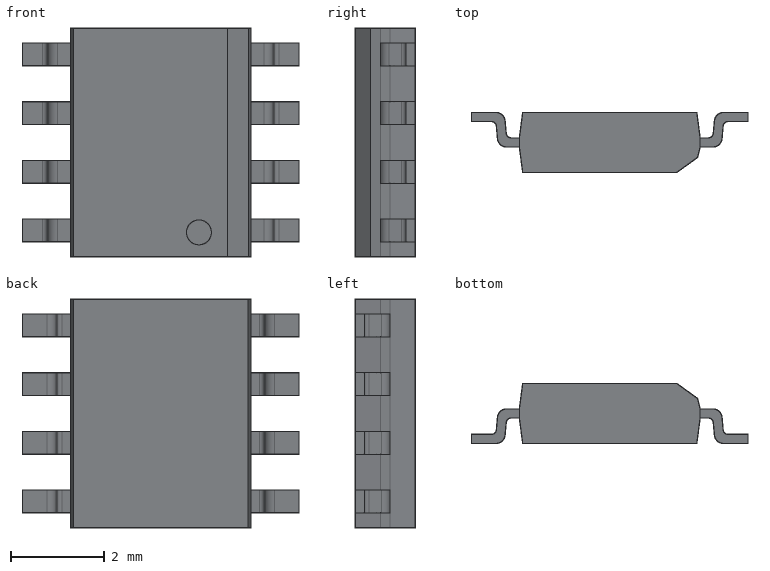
import cadquery as cq
import math


overall_width = 5.95
body_depth = 1.3
body_length = 4.92

waist_half_width = 1.945
face_half_width = 1.875
bevel_face_x = 1.44
bevel_side_x = 1.89
bevel_side_depth = 0.97

leads_per_side = 4
lead_pitch = 1.26
lead_width = 0.495
lead_thickness = 0.2
lead_exit_depth = 0.55
lead_shank_x = 2.33
shank_lean = 5.0
outer_bend_radius = 0.2
inner_bend_radius = 0.1
lead_embed = 0.12

mark_diameter = 0.535
mark_depth = 0.1
mark_x = 0.82
mark_z = -1.935

lead_far_depth = lead_exit_depth + lead_thickness


def extrude_along_z(outline, length):
    """Extrude a closed XY outline symmetrically about Z = 0."""
    return outline.extrude(length / 2, both=True)


def make_body():
    outline = cq.Workplane("XY").polyline([
        (-face_half_width, 0),
        (-waist_half_width, -lead_exit_depth),
        (-waist_half_width, -lead_far_depth),
        (-face_half_width, -body_depth),
        (bevel_face_x, -body_depth),
        (bevel_side_x, -bevel_side_depth),
        (waist_half_width, -lead_far_depth),
        (waist_half_width, -lead_exit_depth),
        (face_half_width, 0),
    ]).close()
    return extrude_along_z(outline, body_length)


def make_lead():
    """Gull-wing lead on the +X side, centred on Z = 0."""
    lean = math.radians(shank_lean)
    half_shank = lead_thickness / 2 / math.cos(lean)
    mid_depth = lead_far_depth / 2

    def shank_point(side, depth):
        """Point on the inboard (-1) or outboard (+1) shank face."""
        x = lead_shank_x + side * half_shank + (mid_depth - depth) * math.tan(lean)
        return x, -depth

    tip_x = overall_width / 2
    root_x = waist_half_width - lead_embed
    foot_outer = shank_point(-1, 0)
    foot_inner = shank_point(1, lead_thickness)
    exit_outer = shank_point(1, lead_far_depth)
    exit_inner = shank_point(-1, lead_exit_depth)

    outline = cq.Workplane("XY").polyline([
        (tip_x, 0),
        foot_outer,
        exit_inner,
        (root_x, -lead_exit_depth),
        (root_x, -lead_far_depth),
        exit_outer,
        foot_inner,
        (tip_x, -lead_thickness),
    ]).close()
    lead = extrude_along_z(outline, lead_width)

    bends = [
        (outer_bend_radius, foot_outer, exit_outer),
        (inner_bend_radius, foot_inner, exit_inner),
    ]
    for radius, *corners in bends:
        for x, y in corners:
            lead = lead.edges(cq.NearestToPointSelector((x, y, 0))).fillet(radius)
    return lead


def make_pin_1_mark():
    """Shallow round recess in the marked face."""
    mark = cq.Workplane("XZ").circle(mark_diameter / 2).extrude(mark_depth)
    return mark.translate((mark_x, mark_depth - body_depth, mark_z))


result = make_body()

right_lead = make_lead()
left_lead = right_lead.mirror("YZ")
for index in range(leads_per_side):
    lead_z = (index - (leads_per_side - 1) / 2) * lead_pitch
    for lead in (left_lead, right_lead):
        result = result.union(lead.translate((0, 0, lead_z)))

result = result.cut(make_pin_1_mark())